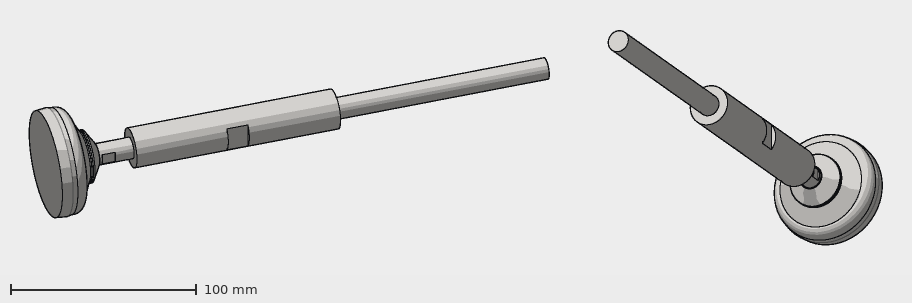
import cadquery as cq


total_length = 283.0
rod_diameter = 12.0
sleeve_diameter = 22.0
sleeve_length = 115.2
sleeve_start = 48.0
sleeve_flat_length = 12.0
sleeve_across_flats = 17.0
rod_flat_start = 30.3
rod_flat_end = 37.5
rod_across_flats = 10.2

foot_height = 28.5
top_radius = 6.5
collar_radius = 14.7
collar_top = 23.2
collar_bottom = 20.7
groove_top = 22.4
groove_bottom = 21.5
groove_depth = 0.3
shoulder_radius = 24.0
shoulder_height = 15.5
rim_radius = 29.5
round_end = 8.8
round_middle = (28.5, 13.0)
rim_bead_radius = 30.0
bead_height = 6.0

sleeve_middle = sleeve_start + sleeve_length / 2


def cylinder_along_y(diameter, start, end):
    """Solid cylinder on the Y axis between two Y positions."""
    disc = cq.Workplane("XZ", origin=(0, start, 0)).circle(diameter / 2)
    return disc.extrude(start - end)


def cut_side_flats(body, diameter, across_flats, start, end):
    """Cut a pair of wrench flats facing -X and +X."""
    middle = (start + end) / 2
    depth = (diameter - across_flats) / 2
    for side in (-1, 1):
        cutter = cq.Workplane("XY").box(2 * depth, end - start, diameter)
        offset = side * (across_flats / 2 + depth)
        body = body.cut(cutter.translate((offset, middle, 0)))
    return body


def make_spindle():
    rod = cylinder_along_y(rod_diameter, foot_height, total_length)
    rod = cut_side_flats(rod, rod_diameter, rod_across_flats, rod_flat_start, rod_flat_end)
    sleeve = cylinder_along_y(sleeve_diameter, sleeve_start, sleeve_start + sleeve_length)
    sleeve = cut_side_flats(
        sleeve,
        sleeve_diameter,
        sleeve_across_flats,
        sleeve_middle - sleeve_flat_length / 2,
        sleeve_middle + sleeve_flat_length / 2,
    )
    return rod.union(sleeve)


def make_foot():
    section = (
        cq.Workplane("XY")
        .moveTo(0, 0)
        .lineTo(rim_radius, 0)
        .lineTo(rim_bead_radius, bead_height)
        .lineTo(rim_radius, round_end)
        .threePointArc(round_middle, (shoulder_radius, shoulder_height))
        .lineTo(collar_radius, collar_bottom)
        .lineTo(collar_radius, groove_bottom)
        .lineTo(collar_radius - groove_depth, groove_bottom)
        .lineTo(collar_radius - groove_depth, groove_top)
        .lineTo(collar_radius, groove_top)
        .lineTo(collar_radius, collar_top)
        .lineTo(top_radius, foot_height)
        .lineTo(0, foot_height)
        .close()
    )
    return section.revolve(360, (0, 0, 0), (0, 1, 0))


spindle = make_spindle()
foot = make_foot()
result = cq.Compound.makeCompound([spindle.val(), foot.val()])